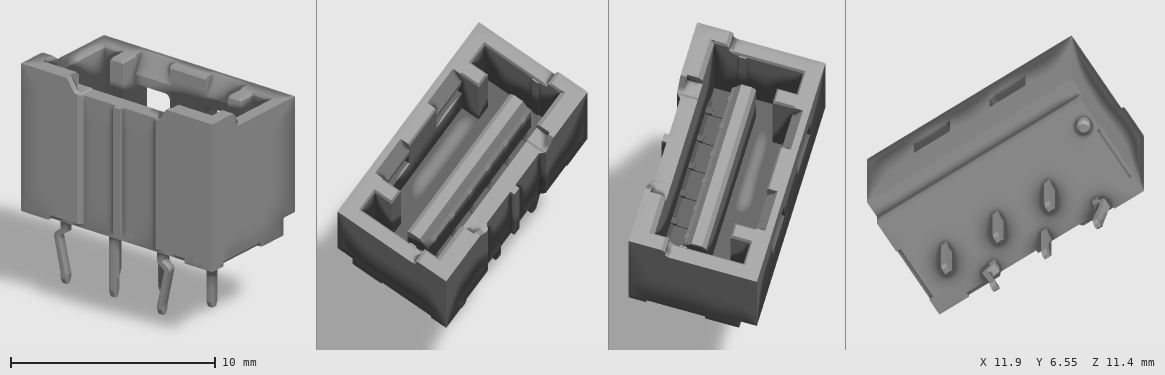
import cadquery as cq
import math

WIDTH = 11.9
DEPTH = 6.55
FRONT_TOP = 7.91
REAR_TOP = 7.14
STEP_Y = 1.86
STEP_CHAMFER = 0.18
REAR_CUT_DEPTH = 0.9
REAR_CUT_HEIGHT = 0.94

CAVITY_HALF_WIDTH = 5.18
CAVITY_FRONT = 1.1
CAVITY_REAR = 5.64
FLOOR = 1.5
LIP_RUN = 0.1
LIP_DROP = 0.14
FRONT_LIP = 0.24
KEY_INNER_X = 3.27
KEY_OUTER_X = 4.06
KEY_FRONT = 4.64
BUMP_REACH = 0.06
BUMP_WIDTH = 0.36
BUMP_Y = 2.56

WINDOW_INNER_X = 1.13
WINDOW_BOTTOM = 3.96
WINDOW_TOP = 5.58
WINDOW_RADIUS = 0.3
RAMP_BOTTOM = 6.1
RAMP_REAR = 6.19

NOTCH_TOP_X = 3.08
NOTCH_FOOT_X = 2.62
NOTCH_RADIUS = 0.33
LEDGE_X = 2.43
LEDGE_RISE = 0.05
POCKET_X = 3.19
SKIN = 0.31
RECESS_DEPTH = 0.25
RECESS_HALF_WIDTH = LEDGE_X
RECESS_FLOOR_HALF_WIDTH = 2.19
RECESS_RIB = 0.42
RELIEF_HEIGHT = 0.27
FRONT_RELIEF_HALF_WIDTH = 4.24
SIDE_RELIEF_START = 0.9
SIDE_RELIEF_END = 3.9

TONGUE_HALF_WIDTH = 4.33
TONGUE_TOP = 5.44
TONGUE_REAR = 3.49
TONGUE_FRONT = 2.26
TONGUE_REAR_BEVEL = 0.21
TONGUE_CREST_FRONT = 2.74
TONGUE_BREAK_Y = 2.44
TONGUE_BREAK_DROP = 0.57
TONGUE_BEVEL_DROP = 0.85
FOOT_TOP = 1.9
FOOT_BEVEL = 0.18

PIN_COUNT = 6
PIN_PITCH = 1.5
PIN_WIDTH = 0.3
FRONT_ROW_Y = 0.76
REAR_ROW_Y = 2.78
FRONT_PIN_DEPTH = 0.46
REAR_PIN_DEPTH = 0.51
STRAIGHT_LENGTH = 3.39
KINKED_LENGTH = 3.5
FRONT_STRAIGHT_TIP = 0.4
REAR_STRAIGHT_TIP = 0.31
KINKED_TIP = 0.3
FRONT_TIP_WIDTH = 0.2
REAR_TIP_WIDTH = 0.27
BLADE_THICKNESS = 0.1
BLADE_FRONT = 2.23
BLADE_BEND = 0.1
BLADE_STEP_Y = 1.42
BLADE_STEP_RISE = 0.14
KINK_START = 0.57
KINK_TURN = 1.13
KINK_RETURN = 2.99
KINK_OUTER_X = 0.55
KINK_INNER_X = 0.31
KINK_SLOPE = 0.7
KINK_SHOULDER = 0.11
KINK_INNER_LAG = 0.14
KINKED_PINS = {0: -1, 4: 1}

PEG_X = -5.37
PEG_Y = 4.56
PEG_DIAMETER = 0.7
PEG_LENGTH = 0.71
PEG_TIP_DIAMETER = 0.44
PEG_TIP_LENGTH = 0.17


def block(x0, x1, y0, y1, z0, z1):
    return cq.Workplane("XY").box(x1 - x0, y1 - y0, z1 - z0, centered=False).translate((x0, y0, z0))


def along_x(points, x0, x1):
    """Prism with a (Y, Z) outline running from x0 to x1."""
    return cq.Workplane("YZ").workplane(offset=x0).polyline(points).close().extrude(x1 - x0)


def along_y(points, y0, y1):
    """Prism with an (X, Z) outline running from y0 to y1."""
    return cq.Workplane("XZ").workplane(offset=-y0).polyline(points).close().extrude(y0 - y1)


def both_sides(solid):
    return solid.union(solid.mirror("YZ"))


def housing_blank():
    rear_cut_y = DEPTH - REAR_CUT_DEPTH
    profile = [
        (0, 0), (rear_cut_y, 0), (rear_cut_y, REAR_CUT_HEIGHT), (DEPTH, REAR_CUT_HEIGHT),
        (DEPTH, REAR_TOP),
        (STEP_Y + STEP_CHAMFER, REAR_TOP), (STEP_Y, REAR_TOP + STEP_CHAMFER),
        (STEP_Y, FRONT_TOP - STEP_CHAMFER), (STEP_Y - STEP_CHAMFER, FRONT_TOP),
        (0, FRONT_TOP),
    ]
    return along_x(profile, -WIDTH / 2, WIDTH / 2)


def cavity():
    opening = block(-CAVITY_HALF_WIDTH, CAVITY_HALF_WIDTH, CAVITY_FRONT, CAVITY_REAR, FLOOR, FRONT_TOP)
    key = block(KEY_INNER_X, KEY_OUTER_X, KEY_FRONT, CAVITY_REAR, FLOOR, FRONT_TOP)
    wall = CAVITY_HALF_WIDTH
    bump = block(wall - BUMP_REACH, wall, BUMP_Y - BUMP_WIDTH / 2, BUMP_Y + BUMP_WIDTH / 2,
                 FLOOR, REAR_TOP - LIP_DROP)
    return opening.cut(both_sides(key)).cut(both_sides(bump))


def rear_lead_in():
    """Chamfer of the low rim, following the side walls, the rear wall and the keys."""
    side = CAVITY_HALF_WIDTH + LIP_RUN
    rear = CAVITY_REAR + LIP_RUN
    key_front = KEY_FRONT + LIP_RUN
    key_outer = KEY_OUTER_X - LIP_RUN
    key_inner = KEY_INNER_X + LIP_RUN
    right_half = [
        (key_inner, rear), (key_inner, key_front), (key_outer, key_front), (key_outer, rear),
        (side, rear), (side, STEP_Y + STEP_CHAMFER),
    ]
    left_half = [(-x, y) for x, y in reversed(right_half)]
    taper = math.degrees(math.atan2(LIP_RUN, LIP_DROP))
    rim = cq.Workplane("XY").workplane(offset=REAR_TOP).polyline(right_half + left_half).close()
    return rim.extrude(-LIP_DROP, taper=taper)


def front_lead_in():
    """Chamfers of the raised rim: two side walls and a larger one on the front wall."""
    side = CAVITY_HALF_WIDTH + LIP_RUN
    sides = along_y(
        [(-side, FRONT_TOP), (side, FRONT_TOP),
         (CAVITY_HALF_WIDTH, FRONT_TOP - LIP_DROP), (-CAVITY_HALF_WIDTH, FRONT_TOP - LIP_DROP)],
        CAVITY_FRONT, STEP_Y)
    front = along_x(
        [(CAVITY_FRONT - FRONT_LIP, FRONT_TOP), (CAVITY_FRONT, FRONT_TOP - FRONT_LIP),
         (CAVITY_FRONT, FRONT_TOP)],
        -side, side)
    return sides.union(front)


def latch_openings():
    window = block(WINDOW_INNER_X, KEY_INNER_X, CAVITY_REAR, DEPTH, WINDOW_BOTTOM, WINDOW_TOP)
    window = window.edges("|Y and <X and >Z").fillet(WINDOW_RADIUS)
    ramp = along_x([(CAVITY_REAR, RAMP_BOTTOM), (RAMP_REAR, REAR_TOP), (CAVITY_REAR, REAR_TOP)],
                   WINDOW_INNER_X, KEY_INNER_X)
    return both_sides(window.union(ramp))


def front_notch():
    ledge = REAR_TOP + LEDGE_RISE
    right_half = [(LEDGE_X - 2 * LEDGE_RISE, REAR_TOP), (LEDGE_X, ledge), (NOTCH_FOOT_X, ledge),
                  (NOTCH_TOP_X, FRONT_TOP)]
    left_half = [(-x, z) for x, z in reversed(right_half)]
    notch = along_y(right_half + left_half, 0, CAVITY_FRONT)
    for foot_x in (-NOTCH_FOOT_X, NOTCH_FOOT_X):
        foot = cq.selectors.NearestToPointSelector((foot_x, CAVITY_FRONT / 2, ledge))
        notch = notch.edges(foot).fillet(NOTCH_RADIUS)
    pocket = block(LEDGE_X, POCKET_X, SKIN, CAVITY_FRONT, ledge, FRONT_TOP)
    return notch.union(both_sides(pocket))


def front_recess():
    outline = [(-RECESS_HALF_WIDTH, 0), (RECESS_HALF_WIDTH, 0),
               (RECESS_FLOOR_HALF_WIDTH, RECESS_DEPTH), (-RECESS_FLOOR_HALF_WIDTH, RECESS_DEPTH)]
    recess = cq.Workplane("XY").polyline(outline).close().extrude(FRONT_TOP)
    return recess.cut(block(-RECESS_RIB / 2, RECESS_RIB / 2, 0, RECESS_DEPTH, 0, FRONT_TOP))


def bottom_reliefs():
    front = block(-FRONT_RELIEF_HALF_WIDTH, FRONT_RELIEF_HALF_WIDTH, 0, RECESS_DEPTH, 0, RELIEF_HEIGHT)
    side = block(WIDTH / 2 - RECESS_DEPTH, WIDTH / 2, SIDE_RELIEF_START, SIDE_RELIEF_END, 0, RELIEF_HEIGHT)
    return front.union(both_sides(side))


def tongue():
    """Free-standing tongue with a bevelled top and a low foot reaching the front wall."""
    profile = [
        (CAVITY_FRONT, FLOOR), (TONGUE_REAR, FLOOR),
        (TONGUE_REAR, TONGUE_TOP - TONGUE_REAR_BEVEL), (TONGUE_REAR - TONGUE_REAR_BEVEL, TONGUE_TOP),
        (TONGUE_CREST_FRONT, TONGUE_TOP), (TONGUE_BREAK_Y, TONGUE_TOP - TONGUE_BREAK_DROP),
        (TONGUE_FRONT, TONGUE_TOP - TONGUE_BEVEL_DROP), (TONGUE_FRONT, FOOT_TOP),
        (CAVITY_FRONT + FOOT_BEVEL, FOOT_TOP), (CAVITY_FRONT, FOOT_TOP + FOOT_BEVEL),
    ]
    return along_x(profile, -TONGUE_HALF_WIDTH, TONGUE_HALF_WIDTH)


def contact_blade(x):
    """Part of a contact inside the cavity: up the tongue and forward along its foot."""
    strip_top = FOOT_TOP + BLADE_THICKNESS
    step_top = strip_top + BLADE_STEP_RISE
    profile = [
        (CAVITY_FRONT, FLOOR), (TONGUE_BREAK_Y, FLOOR), (TONGUE_BREAK_Y, TONGUE_TOP - TONGUE_BREAK_DROP),
        (BLADE_FRONT, TONGUE_TOP - TONGUE_BEVEL_DROP), (BLADE_FRONT, strip_top + BLADE_BEND),
        (BLADE_FRONT - BLADE_BEND, strip_top), (BLADE_STEP_Y, strip_top), (BLADE_STEP_Y, step_top),
        (CAVITY_FRONT, step_top),
    ]
    return along_x(profile, x - PIN_WIDTH / 2, x + PIN_WIDTH / 2)


def tail_outline(y, depth, length, tip_length, tip_width):
    shoulder = tip_length - length
    return [
        (y - depth / 2, FLOOR), (y - depth / 2, shoulder), (y - tip_width / 2, -length),
        (y + tip_width / 2, -length), (y + depth / 2, shoulder), (y + depth / 2, FLOOR),
    ]


def straight_tail(x, outline):
    return along_x(outline, x - PIN_WIDTH / 2, x + PIN_WIDTH / 2)


def kinked_tail(x, direction):
    """Retention tail that bulges sideways below the seating face and returns to its axis."""
    half = PIN_WIDTH / 2
    shoulder_x = KINK_OUTER_X - KINK_SHOULDER
    shoulder_z = -KINK_START - (shoulder_x - half) * KINK_SLOPE
    inner_start = -KINK_START - KINK_INNER_LAG
    inner_corner_z = inner_start - (KINK_INNER_X + half) * KINK_SLOPE
    strip = (
        cq.Workplane("XZ").moveTo(half, FLOOR).lineTo(half, -KINK_START)
        .lineTo(shoulder_x, shoulder_z)
        .tangentArcPoint((KINK_OUTER_X, -KINK_TURN), relative=False)
        .lineTo(half, -KINK_RETURN).lineTo(half, -KINKED_LENGTH)
        .lineTo(-half, -KINKED_LENGTH).lineTo(-half, -KINK_RETURN)
        .lineTo(KINK_INNER_X, inner_corner_z).lineTo(-half, inner_start).lineTo(-half, FLOOR)
        .close().extrude(-DEPTH)
    )
    if direction < 0:
        strip = strip.mirror("YZ")
    outline = tail_outline(FRONT_ROW_Y, FRONT_PIN_DEPTH, KINKED_LENGTH, KINKED_TIP, FRONT_TIP_WIDTH)
    return strip.intersect(along_x(outline, -PIN_PITCH, PIN_PITCH)).translate((x, 0, 0))


def contact(index):
    x = (index - (PIN_COUNT - 1) / 2) * PIN_PITCH
    if index in KINKED_PINS:
        tail = kinked_tail(x, KINKED_PINS[index])
    elif index % 2 == 0:
        tail = straight_tail(x, tail_outline(FRONT_ROW_Y, FRONT_PIN_DEPTH, STRAIGHT_LENGTH,
                                             FRONT_STRAIGHT_TIP, FRONT_TIP_WIDTH))
    else:
        tail = straight_tail(x, tail_outline(REAR_ROW_Y, REAR_PIN_DEPTH, STRAIGHT_LENGTH,
                                             REAR_STRAIGHT_TIP, REAR_TIP_WIDTH))
    return tail.union(contact_blade(x))


def locating_peg():
    radius = PEG_DIAMETER / 2
    shoulder = PEG_TIP_LENGTH - PEG_LENGTH
    half_section = [(0, 0), (radius, 0), (radius, shoulder), (PEG_TIP_DIAMETER / 2, -PEG_LENGTH),
                    (0, -PEG_LENGTH)]
    peg = cq.Workplane("XZ").polyline(half_section).close().revolve(360, (0, 0, 0), (0, 1, 0))
    return peg.translate((PEG_X, PEG_Y, 0))


result = housing_blank()
for cutter in (cavity(), rear_lead_in(), front_lead_in(), latch_openings(), front_notch(),
               front_recess(), bottom_reliefs()):
    result = result.cut(cutter)
result = result.union(tongue()).union(locating_peg())
for pin in range(PIN_COUNT):
    result = result.union(contact(pin))